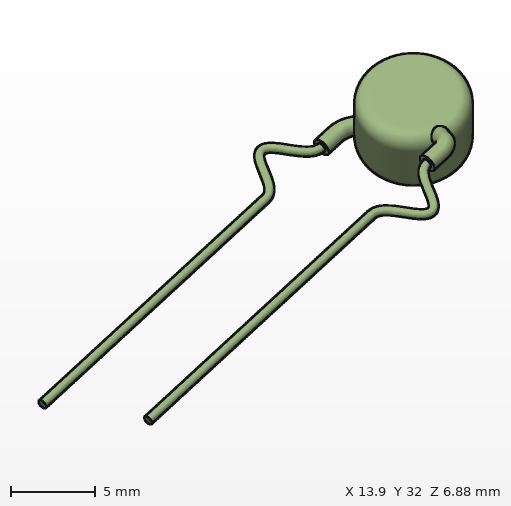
import cadquery as cq
import math

disc_diameter = 7.0
disc_height = 5.0
disc_edge_radius = 1.0

lead_spacing_x = 8.25
lead_spacing_z = 5.73
wire_diameter = 0.6
kink_peak_spacing_x = 13.28
kink_half_length = 2.5
kink_end_pull = 1.0
kink_peak_pull = 0.75
tail_length = 20.0

sleeve_diameter = 1.15
sleeve_straight_length = 1.2
sleeve_bend_radius = 1.0
sleeve_bend_angle = 65
sleeve_tilt = 35
sleeve_arm_length = 1.75

lead_x = lead_spacing_x / 2
kink_peak_x = kink_peak_spacing_x / 2
lead_z = lead_spacing_z / 2
sleeve_end_y = -disc_diameter / 2
kink_peak_y = sleeve_end_y - kink_half_length
kink_end_y = kink_peak_y - kink_half_length
tail_end_y = kink_end_y - tail_length


def lead_section(diameter, y):
    """Circle across the right lead, facing +Y."""
    plane = cq.Plane(origin=(lead_x, y, lead_z), xDir=(1, 0, 0), normal=(0, 1, 0))
    return cq.Workplane(plane).circle(diameter / 2)


def make_disc():
    disc = cq.Workplane("XY").cylinder(disc_height, disc_diameter / 2)
    return disc.edges().fillet(disc_edge_radius)


def make_sleeve():
    """Right sleeve, drawn in a plane whose y is along +Y and whose x slopes down to the disc."""
    tilt = math.radians(sleeve_tilt)
    inward = (-math.cos(tilt), 0, -math.sin(tilt))
    normal = cq.Vector(*inward).cross(cq.Vector(0, 1, 0))
    bend_plane = cq.Plane(origin=(lead_x, sleeve_end_y, lead_z), xDir=inward, normal=normal)

    def on_bend(degrees):
        angle = math.radians(degrees)
        return (
            sleeve_bend_radius * (1 - math.cos(angle)),
            sleeve_straight_length + sleeve_bend_radius * math.sin(angle),
        )

    turn = math.radians(sleeve_bend_angle)
    path = (
        cq.Workplane(bend_plane)
        .lineTo(0, sleeve_straight_length)
        .threePointArc(on_bend(sleeve_bend_angle / 2), on_bend(sleeve_bend_angle))
        .line(sleeve_arm_length * math.sin(turn), sleeve_arm_length * math.cos(turn))
    )
    return lead_section(sleeve_diameter, sleeve_end_y).sweep(path)


def make_wire():
    """Right wire: a stub inside the sleeve, a kink bulging outward and a long straight tail."""
    stub = lead_section(wire_diameter, sleeve_end_y).extrude(sleeve_straight_length)
    end_tangent = (0, -kink_end_pull)
    peak_tangent = (0, -kink_peak_pull)
    kink_plane = cq.Workplane("XY", origin=(0, 0, lead_z))
    kink_start = (lead_x, sleeve_end_y)
    kink_peak = (kink_peak_x, kink_peak_y)
    kink_end = (lead_x, kink_end_y)
    path = (
        kink_plane.moveTo(*kink_start)
        .spline([kink_peak], tangents=[end_tangent, peak_tangent], includeCurrent=True, scale=False)
        .spline([kink_end], tangents=[peak_tangent, end_tangent], includeCurrent=True, scale=False)
    )
    kink = lead_section(wire_diameter, sleeve_end_y).sweep(path)
    tail = lead_section(wire_diameter, tail_end_y).extrude(tail_length)
    return stub.union(kink).union(tail)


def turned(shape, angle):
    """Copy of a right-hand shape turned about Y: half a turn gives the left, lower one."""
    return shape.rotate((0, 0, 0), (0, 1, 0), angle)


lead_angles = (0, 180)

wires = []
for angle in lead_angles:
    wires.append(turned(make_wire(), angle))

coating = make_disc()
for angle in lead_angles:
    coating = coating.union(turned(make_sleeve(), angle))
for wire in wires:
    coating = coating.cut(wire)

result = cq.Compound.makeCompound([coating.val(), *[wire.val() for wire in wires]])